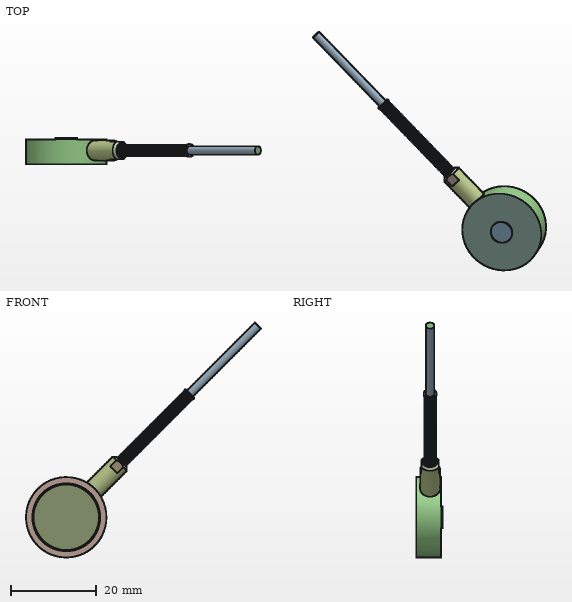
import cadquery as cq
disc_diameter = 18.8
disc_thickness = 5.84
groove_outer_diameter = 15.85
groove_inner_diameter = 15.24
groove_depth = 0.25
button_diameter = 5.08
button_height = 0.37

exit_angle = 45
exit_offset = 0.32

sleeve_diameter = 4.7
sleeve_end = 18.25
sleeve_chamfer = 0.6
flat_spacing = 4.1
flat_length = 2.6

cable_diameter = 2.01
cable_end = 63.17

spring_diameter = 2.77
spring_length = 22.1
wire_diameter = 0.23
ring_pitch = 0.381
ring_count = 58
first_ring_center = sleeve_end + 0.05

collar_diameter = 3.02
collar_thickness = 0.38

spring_end = sleeve_end + spring_length
disc_front = -disc_thickness / 2
disc_back = disc_thickness / 2


def y_cylinder(diameter, y_start, y_end):
    """Cylinder about the Y axis between two Y positions."""
    return cq.Workplane("XZ", origin=(0, y_start, 0)).circle(diameter / 2).extrude(y_start - y_end)


def exit_cylinder(diameter, start, end):
    """Cylinder about the X axis between two distances from the disc axis."""
    return cq.Workplane("YZ", origin=(start, 0, 0)).circle(diameter / 2).extrude(end - start)


def make_disc():
    """Disc with a ring groove in its front face and a round button on its back."""
    disc = y_cylinder(disc_diameter, disc_front, disc_back)
    button = y_cylinder(button_diameter, disc_back, disc_back + button_height)
    groove_floor = disc_front + groove_depth
    groove = y_cylinder(groove_outer_diameter, disc_front, groove_floor).cut(
        y_cylinder(groove_inner_diameter, disc_front, groove_floor)
    )
    return disc.union(button).cut(groove)


def make_sleeve():
    """Chamfered sleeve with two wrench flats facing -Y and +Y at its outer end."""
    sleeve = exit_cylinder(sleeve_diameter, 0, sleeve_end).faces(">X").chamfer(sleeve_chamfer)
    flat_depth = (sleeve_diameter - flat_spacing) / 2
    for side in (-1, 1):
        flat_cutter = cq.Workplane("XY").box(flat_length, flat_depth, sleeve_diameter)
        sleeve = sleeve.cut(
            flat_cutter.translate(
                (sleeve_end - flat_length / 2, side * (flat_spacing + flat_depth) / 2, 0)
            )
        )
    return sleeve


def make_spring():
    """Revolved spring; its first ring starts slightly inside the sleeve."""
    wire_radius = wire_diameter / 2
    core_radius = spring_diameter / 2 - wire_radius
    root = sleeve_end - sleeve_chamfer
    profile = cq.Workplane("XY").moveTo(root, 0).lineTo(root, core_radius)
    for ring in range(ring_count):
        ring_center = first_ring_center + ring * ring_pitch
        profile = profile.lineTo(ring_center - wire_radius, core_radius).threePointArc(
            (ring_center, core_radius + wire_radius), (ring_center + wire_radius, core_radius)
        )
    profile = profile.lineTo(spring_end, core_radius).lineTo(spring_end, 0).close()
    return profile.revolve(360, (0, 0, 0), (1, 0, 0))


def make_cable_exit():
    """Sleeve, spring, collar and cable, swung up from the X axis to the exit angle."""
    collar = exit_cylinder(collar_diameter, spring_end, spring_end + collar_thickness)
    cable = exit_cylinder(cable_diameter, spring_end, cable_end)
    cable_exit = make_sleeve().union(make_spring()).union(collar).union(cable)
    return cable_exit.rotate((0, 0, 0), (0, 1, 0), -exit_angle).translate((0, exit_offset, 0))


result = make_disc().union(make_cable_exit())